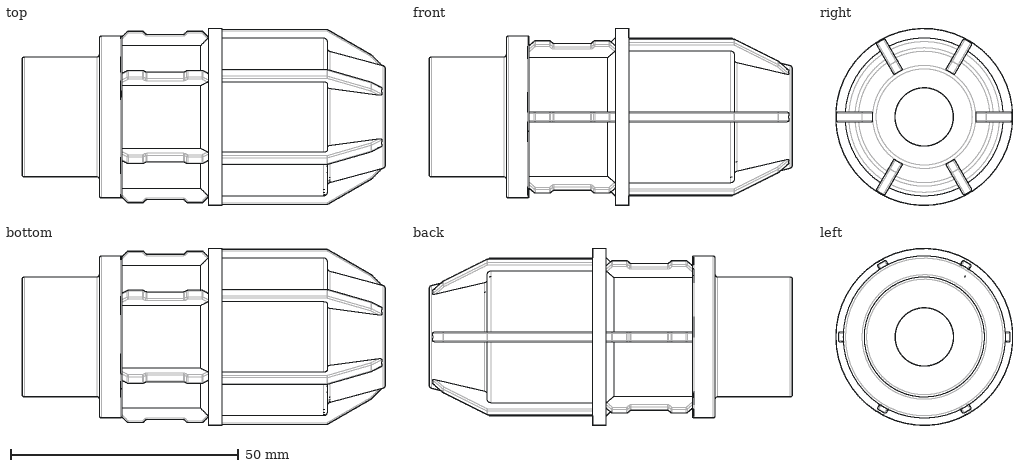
import cadquery as cq
import math

LENGTH = 80.0
BORE_RADIUS = 12.8 / 2

SPIGOT_RADIUS = 26.44 / 2

COLLAR_START = 17.0
COLLAR_END = 22.0
COLLAR_RADIUS = 35.7 / 2

WAIST_RADIUS = 15.75
WAIST_CONE_HEIGHT = 1.7

FLANGE_START = 41.0
FLANGE_END = 44.0
FLANGE_RADIUS = 39.0 / 2

BARREL_END = 67.2
BARREL_RADIUS = 17.4

NOSE_ANGLE = 15.0
NOSE_TIP_RADIUS = 11.2
NOSE_BASE_RADIUS = NOSE_TIP_RADIUS + (LENGTH - BARREL_END) * math.tan(math.radians(NOSE_ANGLE))

EDGE_ROUND = 0.5
COLLAR_BACK_ROUND = 0.3
BARREL_ROUND = 0.8
NOSE_TIP_ROUND = 0.8

RIB_COUNT = 6
RIB_WIDTH = 2.2
RIB_ROUND = 0.35
RIB_OVERLAP = 1.0

WAIST_RIB_RADIUS = 18.9
WAIST_RIB_END_RADIUS = 17.65
WAIST_RIB_FLOOR = 13.5
SADDLE_RADIUS = 18.2
SADDLE_LENGTH = 8.3

BARREL_RIB_RADIUS = 19.3
BARREL_RIB_FLOOR = 8.5
BARREL_RIB_SLOPE = 30.0
RUN_OUT_START = 76.9


def turned_body():
    """Solid of revolution without edge rounds or bore."""
    return (
        cq.Workplane("XY")
        .moveTo(0, 0)
        .lineTo(0, SPIGOT_RADIUS)
        .lineTo(COLLAR_START, SPIGOT_RADIUS)
        .lineTo(COLLAR_START, COLLAR_RADIUS)
        .lineTo(COLLAR_END, COLLAR_RADIUS)
        .lineTo(COLLAR_END, WAIST_RADIUS)
        .lineTo(FLANGE_START - WAIST_CONE_HEIGHT, WAIST_RADIUS)
        .lineTo(FLANGE_START, WAIST_RADIUS + WAIST_CONE_HEIGHT)
        .lineTo(FLANGE_START, FLANGE_RADIUS)
        .lineTo(FLANGE_END, FLANGE_RADIUS)
        .lineTo(FLANGE_END, BARREL_RADIUS)
        .lineTo(BARREL_END, BARREL_RADIUS)
        .lineTo(BARREL_END, NOSE_BASE_RADIUS)
        .lineTo(LENGTH, NOSE_TIP_RADIUS)
        .lineTo(LENGTH, 0)
        .close()
        .revolve(360, (0, 0, 0), (1, 0, 0))
    )


def round_ring(body, x, ring_radius, round_radius):
    """Fillet the circular edge of the given radius that lies at x."""
    margin = 0.05
    near_x = cq.selectors.BoxSelector(
        (x - margin, -LENGTH, -LENGTH), (x + margin, LENGTH, LENGTH)
    )
    ring = (
        body.edges("%CIRCLE")
        .edges(near_x)
        .filter(lambda edge: abs(edge.radius() - ring_radius) < margin)
    )
    return ring.fillet(round_radius)


def round_body(body):
    """Fillet the turned edges of spigot, collar, barrel and nose."""
    body = round_ring(body, 0, SPIGOT_RADIUS, EDGE_ROUND)
    body = round_ring(body, COLLAR_START, SPIGOT_RADIUS, EDGE_ROUND)
    body = round_ring(body, COLLAR_START, COLLAR_RADIUS, EDGE_ROUND)
    body = round_ring(body, COLLAR_END, COLLAR_RADIUS, COLLAR_BACK_ROUND)
    body = round_ring(body, BARREL_END, BARREL_RADIUS, BARREL_ROUND)
    body = round_ring(body, BARREL_END, NOSE_BASE_RADIUS, BARREL_ROUND)
    return round_ring(body, LENGTH, NOSE_TIP_RADIUS, NOSE_TIP_ROUND)


def rib(outline):
    """Rib along +Y with the given (x, radius) outline, rounded at its corners and long edges."""
    blank = cq.Workplane("XY").polyline(outline).close().extrude(RIB_WIDTH / 2, both=True)
    return blank.edges("|Z").fillet(RIB_ROUND).faces("|Z").edges().fillet(RIB_ROUND)


def waist_rib():
    """Rib between collar and flange, symmetric about the middle of the waist."""
    middle = (COLLAR_END + FLANGE_START) / 2
    half_length = (FLANGE_START - COLLAR_END) / 2
    half_buried = half_length + RIB_OVERLAP
    half_top = half_length - (WAIST_RIB_RADIUS - WAIST_RIB_END_RADIUS)
    half_saddle = SADDLE_LENGTH / 2
    half_saddle_top = half_saddle + WAIST_RIB_RADIUS - SADDLE_RADIUS
    right_half = [
        (half_saddle, SADDLE_RADIUS),
        (half_saddle_top, WAIST_RIB_RADIUS),
        (half_top, WAIST_RIB_RADIUS),
        (half_buried, WAIST_RIB_END_RADIUS - RIB_OVERLAP),
        (half_buried, WAIST_RIB_FLOOR),
    ]
    right = [(middle + offset, radius) for offset, radius in right_half]
    left = [(middle - offset, radius) for offset, radius in reversed(right_half)]
    return rib(left + right)


def barrel_rib():
    """Rib from the flange along the barrel and down the nose."""
    start = FLANGE_END - RIB_OVERLAP
    slope_drop = (RUN_OUT_START - BARREL_END) * math.tan(math.radians(BARREL_RIB_SLOPE))
    run_out_radius = BARREL_RIB_RADIUS - slope_drop
    end = LENGTH - NOSE_TIP_ROUND / 2
    end_radius = run_out_radius - (end - RUN_OUT_START)
    return rib([
        (start, BARREL_RIB_FLOOR),
        (start, BARREL_RIB_RADIUS),
        (BARREL_END, BARREL_RIB_RADIUS),
        (RUN_OUT_START, run_out_radius),
        (end, end_radius),
        (end, BARREL_RIB_FLOOR),
    ])


def add_ribs(body, single_rib):
    """Fuse the rib to the body at equal angles about X."""
    for index in range(RIB_COUNT):
        angle = index * 360 / RIB_COUNT
        body = body.union(single_rib.rotate((0, 0, 0), (1, 0, 0), angle))
    return body


def bore():
    """Through hole along the axis."""
    return cq.Workplane("YZ").circle(BORE_RADIUS).extrude(LENGTH)


part = round_body(turned_body())
part = add_ribs(part, waist_rib())
part = add_ribs(part, barrel_rib())
result = part.cut(bore())